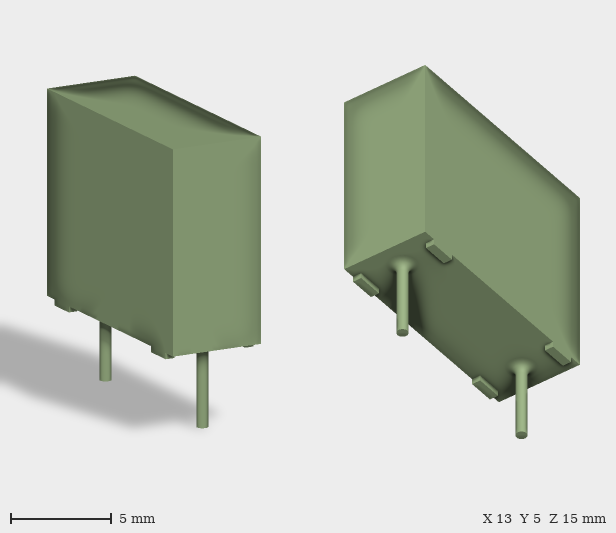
import cadquery as cq


case_length = 13.0
case_width = 5.0
total_height = 15.0
lead_pitch = 10.0
lead_diameter = 0.6
lead_below_feet = 3.99
foot_height = 0.32
foot_length = 1.5
foot_width = 0.5
flare_radius = 0.5

case_bottom = lead_below_feet + foot_height
case_height = total_height - case_bottom
lead_radius = lead_diameter / 2
lead_x = lead_pitch / 2
foot_y = (case_width - foot_width) / 2


def make_case():
    return (
        cq.Workplane("XY")
        .workplane(offset=case_bottom)
        .rect(case_length, case_width)
        .extrude(case_height)
    )


def make_feet():
    """Four feet flush with the long faces, in line with the leads along X."""
    return (
        cq.Workplane("XY")
        .workplane(offset=lead_below_feet)
        .rect(lead_pitch, 2 * foot_y, forConstruction=True)
        .vertices()
        .rect(foot_length, foot_width)
        .extrude(foot_height)
    )


def make_lead(x):
    """Round lead widening into the case underside along a quarter circle."""
    flare_start = case_bottom - flare_radius
    flare_center = (lead_radius + flare_radius, flare_start)
    diagonal = flare_radius / 2**0.5
    arc_middle = (flare_center[0] - diagonal, flare_center[1] + diagonal)
    arc_end = (flare_center[0], case_bottom)
    return (
        cq.Workplane("XZ")
        .lineTo(lead_radius, 0)
        .lineTo(lead_radius, flare_start)
        .threePointArc(arc_middle, arc_end)
        .lineTo(0, case_bottom)
        .close()
        .revolve(360, (0, 0), (0, 1))
        .translate((x, 0, 0))
    )


result = make_case().union(make_feet())
for side in (-1, 1):
    result = result.union(make_lead(side * lead_x))